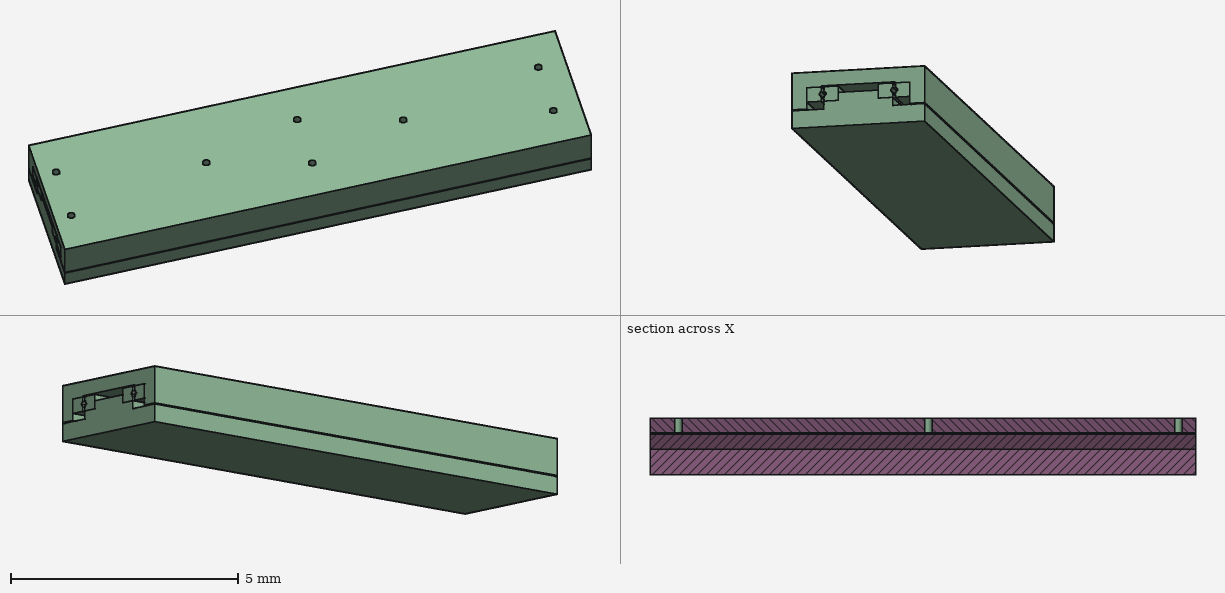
import cadquery as cq

length = 12.0
width = 3.0
height = 1.25

plate_height = 0.4
rib_width = 1.56
rib_top = 0.75

base_clearance = 0.02
carriage_bottom = plate_height + base_clearance
side_wall = 0.34
ceiling = 0.92
relief_width = 1.65

race_bottom = 0.58
race_top = 0.9
race_width = 0.32
race_middle = (race_bottom + race_top) / 2
groove_opening = 0.13
groove_depth = 0.05
inner_race_face = rib_width / 2
outer_race_face = width / 2 - side_wall - race_width

hole_middle_y = -0.12
mount_hole_diameter = 0.15
mount_hole_x = 0.62
mount_hole_pitch_y = 5.5
centre_hole_diameter = 0.15
centre_hole_y = 2.25


def bar(bar_width, bottom, top):
    """Full-length box centred on X and Y that fills the heights from bottom to top."""
    box = cq.Workplane("XY").box(bar_width, length, top - bottom, centered=(True, True, False))
    return box.translate((0, 0, bottom))


def make_base():
    plate = bar(width, 0, plate_height)
    lower_rib = bar(rib_width, plate_height, race_bottom)
    upper_rib = bar(rib_width - 2 * race_width, race_bottom, rib_top)
    return plate.union(lower_rib).union(upper_rib)


def make_carriage():
    block = bar(width, carriage_bottom, height)
    channel = bar(width - 2 * side_wall, carriage_bottom, race_top)
    relief = bar(relief_width, race_top, ceiling)
    mount_points = [
        (x, hole_middle_y + row * mount_hole_pitch_y)
        for x in (-mount_hole_x, mount_hole_x)
        for row in (-1, 0, 1)
    ]
    centre_points = [(0, hole_middle_y + side * centre_hole_y) for side in (-1, 1)]
    top_thickness = height - ceiling
    holes = cq.Workplane("XY", origin=(0, 0, ceiling))
    mount_holes = holes.pushPoints(mount_points).circle(mount_hole_diameter / 2).extrude(top_thickness)
    centre_holes = holes.pushPoints(centre_points).circle(centre_hole_diameter / 2).extrude(top_thickness)
    return block.cut(channel).cut(relief).cut(mount_holes).cut(centre_holes)


def make_race(face_x, inward):
    """Race whose grooved face is at face_x; inward is the X direction from that face into the bar."""
    profile = [
        (face_x, race_bottom),
        (face_x, race_middle - groove_opening / 2),
        (face_x + inward * groove_depth, race_middle),
        (face_x, race_middle + groove_opening / 2),
        (face_x, race_top),
        (face_x + inward * race_width, race_top),
        (face_x + inward * race_width, race_bottom),
    ]
    return cq.Workplane("XZ").polyline(profile).close().extrude(length / 2, both=True)


base = make_base()
carriage = make_carriage()
inner_races = [make_race(side * inner_race_face, -side) for side in (-1, 1)]
outer_races = [make_race(side * outer_race_face, side) for side in (-1, 1)]

races = [race.val() for race in inner_races + outer_races]
result = cq.Compound.makeCompound([base.val(), carriage.val(), *races])